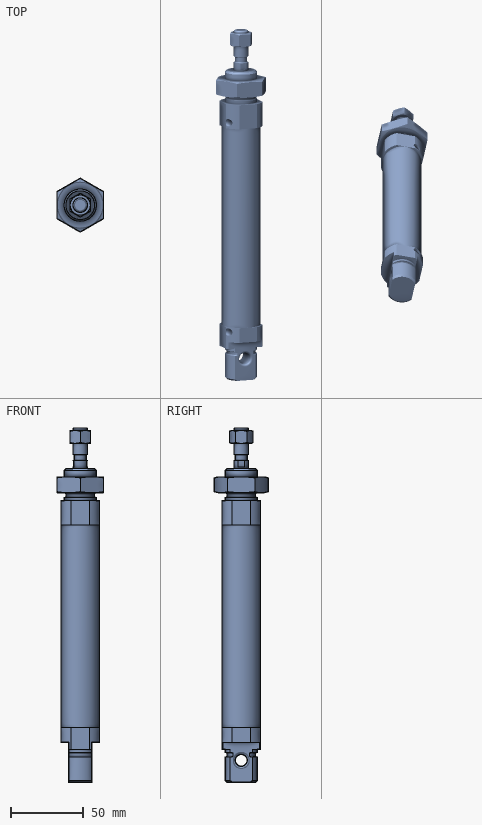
import cadquery as cq
import math

TOTAL_LENGTH = 243
REAR_CAP_BOTTOM = 22.5
REAR_CAP_TOP = 37.7
HEAD_CAP_BOTTOM = 176.5
HEAD_CAP_TOP = 193.3
COLLAR_TOP = 215.1

TUBE_DIAMETER = 26.5
CAP_DIAMETER = 29.7
CAP_ACROSS_FLATS = 26.7
NECK_DIAMETER = 22.1
NECK_ROOT_DIAMETER = 19.7
NECK_CHAMFER = (NECK_DIAMETER - NECK_ROOT_DIAMETER) / 2
NECK_GROOVE_WIDTH = 3.0
NECK_GROOVE_OFFSET = 2.2
TANG_THICKNESS = 16.0
TANG_CUT_TOP = 27.5
PIN_HOLE_DIAMETER = 8.0
PIN_HOLE_ROUNDING = 1.5
PIN_HOLE_Z = 15.0
PORT_DIAMETER = 5.0
PORT_DEPTH = 4.9
PORT_X = -8.0
HEAD_PORT_Z = 180.6
REAR_PORT_Z = 34.5

GROOVE_ROUNDING = 0.7

MOUNT_NUT_ACROSS_FLATS = 32.0
MOUNT_NUT_BOTTOM = 198.5
MOUNT_NUT_HEIGHT = 11.0

ROD_DIAMETER = 10.0
ROD_GROOVE_DIAMETER = 8.3
ROD_TIP_ROUNDING = 1.0
ROD_GROOVE_BOTTOM = 220.7
ROD_GROOVE_TOP = 224.9
ROD_ACROSS_FLATS = 9.0
ROD_FLAT_BOTTOM = 216.0
ROD_NUT_ACROSS_FLATS = 14.0
ROD_NUT_BOTTOM = 232.5
ROD_NUT_HEIGHT = 9.0

NUT_CHAMFER_HEIGHT = 0.7
NUT_FACE_RATIO = 0.98


def revolve_profile(points):
    """Solid of revolution about Z from (radius, z) points."""
    return cq.Workplane("XZ").polyline(points).close().revolve(360, (0, 0, 0), (0, 1, 0))


def make_cylinder(diameter, bottom, top):
    return cq.Workplane("XY").workplane(offset=bottom).circle(diameter / 2).extrude(top - bottom)


def make_cap(bottom, top):
    """Round cap with four flats facing X and Y."""
    square = (
        cq.Workplane("XY")
        .workplane(offset=bottom)
        .rect(CAP_ACROSS_FLATS, CAP_ACROSS_FLATS)
        .extrude(top - bottom)
    )
    return make_cylinder(CAP_DIAMETER, bottom, top).intersect(square)


def make_groove_ring(outer_diameter, root_diameter, bottom, top):
    """Ring to cut for a square-shouldered groove with two rounded root corners."""
    outer = outer_diameter / 2
    root = root_diameter / 2
    inset = GROOVE_ROUNDING * (1 - math.cos(math.pi / 4))
    return (
        cq.Workplane("XZ")
        .moveTo(outer, bottom)
        .lineTo(root + GROOVE_ROUNDING, bottom)
        .threePointArc((root + inset, bottom + inset), (root, bottom + GROOVE_ROUNDING))
        .lineTo(root, top - GROOVE_ROUNDING)
        .threePointArc((root + inset, top - inset), (root + GROOVE_ROUNDING, top))
        .lineTo(outer, top)
        .close()
        .revolve(360, (0, 0, 0), (0, 1, 0))
    )


def make_neck(cap_face, tip):
    """Round neck from a cap face to its chamfered tip, grooved close to the cap."""
    direction = math.copysign(1, tip - cap_face)
    outer = NECK_DIAMETER / 2
    neck = revolve_profile([
        (0, cap_face),
        (outer, cap_face),
        (outer, tip - direction * NECK_CHAMFER),
        (outer - NECK_CHAMFER, tip),
        (0, tip),
    ])
    groove_middle = cap_face + direction * (NECK_GROOVE_OFFSET + NECK_GROOVE_WIDTH / 2)
    groove = make_groove_ring(
        NECK_DIAMETER,
        NECK_ROOT_DIAMETER,
        groove_middle - NECK_GROOVE_WIDTH / 2,
        groove_middle + NECK_GROOVE_WIDTH / 2,
    )
    return neck.cut(groove)


def make_pin_hole():
    """Cross hole along X through the tang, with a rounded mouth on both sides."""
    half = TANG_THICKNESS / 2
    radius = PIN_HOLE_DIAMETER / 2
    mouth = radius + PIN_HOLE_ROUNDING
    straight = half - PIN_HOLE_ROUNDING
    arc_radius = mouth - PIN_HOLE_ROUNDING * math.cos(math.pi / 4)
    arc_height = straight + PIN_HOLE_ROUNDING * math.sin(math.pi / 4)
    hole = (
        cq.Workplane("XZ")
        .moveTo(0, -half)
        .lineTo(mouth, -half)
        .threePointArc((arc_radius, -arc_height), (radius, -straight))
        .lineTo(radius, straight)
        .threePointArc((arc_radius, arc_height), (mouth, half))
        .lineTo(0, half)
        .close()
        .revolve(360, (0, 0, 0), (0, 1, 0))
    )
    return hole.rotate((0, 0, 0), (0, 1, 0), 90).translate((0, 0, PIN_HOLE_Z))


def cut_tang(body):
    """Mill the rear end to a flat tang and drill its pin hole."""
    side_depth = CAP_DIAMETER
    for side in (-1, 1):
        waste = cq.Workplane("XY").box(side_depth, CAP_DIAMETER, TANG_CUT_TOP, centered=(True, True, False))
        body = body.cut(waste.translate((side * (TANG_THICKNESS + side_depth) / 2, 0, 0)))
    return body.cut(make_pin_hole())


def make_port(z):
    """Blind air port drilled along Y from the +Y flat, beside the centre line."""
    return (
        cq.Workplane("XZ", origin=(PORT_X, CAP_ACROSS_FLATS / 2, z))
        .circle(PORT_DIAMETER / 2)
        .extrude(PORT_DEPTH)
    )


def make_housing():
    body = make_cylinder(TUBE_DIAMETER, REAR_CAP_BOTTOM, HEAD_CAP_TOP)
    body = body.union(make_cap(REAR_CAP_BOTTOM, REAR_CAP_TOP))
    body = body.union(make_cap(HEAD_CAP_BOTTOM, HEAD_CAP_TOP))
    body = body.union(make_neck(HEAD_CAP_TOP, COLLAR_TOP))
    body = body.union(make_neck(REAR_CAP_BOTTOM, 0))
    body = cut_tang(body)
    for port_z in (REAR_PORT_Z, HEAD_PORT_Z):
        body = body.cut(make_port(port_z))
    return body


def make_nut(across_flats, hole_diameter, bottom, height):
    """Hexagon nut with flats facing X and both ends chamfered at the corners."""
    corner_radius = across_flats / math.sqrt(3)
    face_radius = across_flats / 2 * NUT_FACE_RATIO
    hexagon = (
        cq.Workplane("XY")
        .polygon(6, 2 * corner_radius)
        .extrude(height)
        .rotate((0, 0, 0), (0, 0, 1), 30)
    )
    envelope = revolve_profile([
        (0, 0),
        (face_radius, 0),
        (corner_radius, NUT_CHAMFER_HEIGHT),
        (corner_radius, height - NUT_CHAMFER_HEIGHT),
        (face_radius, height),
        (0, height),
    ])
    hole = make_cylinder(hole_diameter, 0, height)
    return hexagon.intersect(envelope).cut(hole).translate((0, 0, bottom))


def make_piston_rod():
    """Rod standing on the collar face, with a rounded tip, a thread undercut and two wrench flats."""
    rod = make_cylinder(ROD_DIAMETER, COLLAR_TOP, TOTAL_LENGTH).faces(">Z").edges().fillet(ROD_TIP_ROUNDING)
    rod = rod.cut(make_groove_ring(ROD_DIAMETER, ROD_GROOVE_DIAMETER, ROD_GROOVE_BOTTOM, ROD_GROOVE_TOP))
    flat_height = ROD_GROOVE_BOTTOM - ROD_FLAT_BOTTOM
    flat_middle = ROD_FLAT_BOTTOM + flat_height / 2
    for side in (-1, 1):
        waste = cq.Workplane("XY").box(ROD_DIAMETER, ROD_DIAMETER, flat_height)
        rod = rod.cut(waste.translate((side * (ROD_ACROSS_FLATS + ROD_DIAMETER) / 2, 0, flat_middle)))
    return rod


housing = make_housing()
mount_nut = make_nut(MOUNT_NUT_ACROSS_FLATS, NECK_DIAMETER, MOUNT_NUT_BOTTOM, MOUNT_NUT_HEIGHT)
piston_rod = make_piston_rod()
rod_nut = make_nut(ROD_NUT_ACROSS_FLATS, ROD_DIAMETER, ROD_NUT_BOTTOM, ROD_NUT_HEIGHT)

result = cq.Compound.makeCompound([
    housing.val(),
    mount_nut.val(),
    piston_rod.val(),
    rod_nut.val(),
])